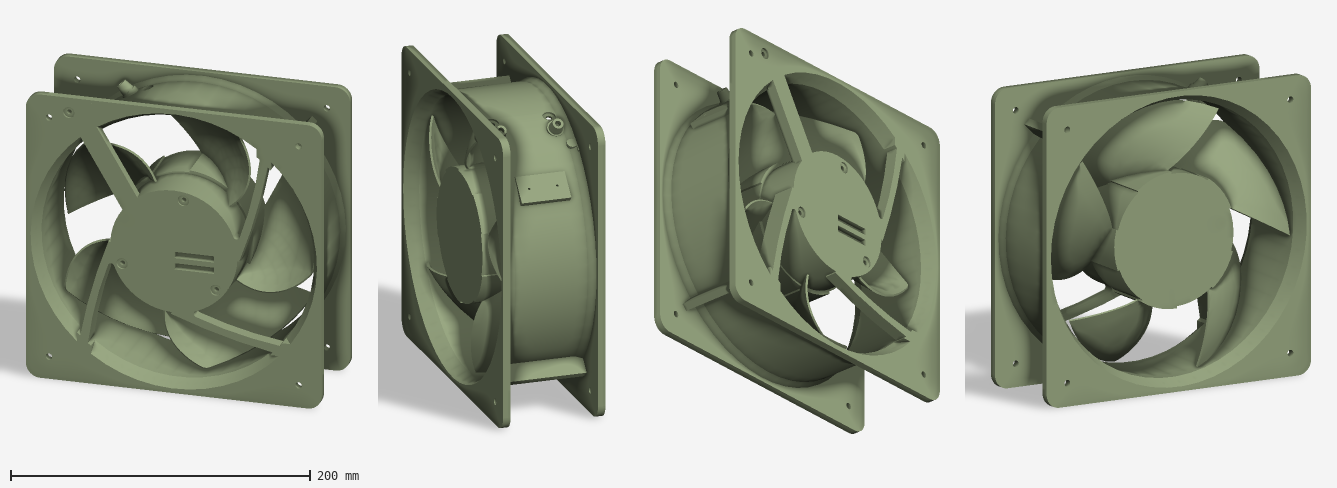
import cadquery as cq
import math

side = 206.0
depth = 72.5
front_y = -depth / 2
rear_y = depth / 2
flange_thickness = 5.4
flange_corner_radius = 9.9
mount_hole_offset = 87.0
mount_hole_radius = 2.3

duct_outer_radius = 98.0
duct_inner_radius = 95.0
flare_depth = 11.0
bore_flare_depth = 9.7
flare_outer_radius = 100.3
mouth_radius = 99.7
bridge_lip_radius = 100.1

can_radius = 44.3
can_rear_y = -6.5

arm_depth = 8.7
deep_arm_depth = 15.0
arms = [(0, arm_depth), (1, arm_depth), (2, deep_arm_depth)]
arm_core_point = (35.0, 2.0)
arm_right_side = [(45.5, -2.0), (56.9, 32.5), (65.3, 69.5)]
arm_left_side = [(60.0, 74.8), (56.0, 51.0), (42.5, 6.5)]
arm_tip_corner = (65.7, 71.5)
arm_root = (43.0, 10.3)
arm_root_fillet = 2.3
bridge_start = 57.7
bridge_end = 67.4

rib_width = 5.2
rib_reach = 111.0
rib_angles = (45.0, 225.0)

cover_radius = 43.0
cover_thickness = 4.1
strip_outline = [(-56.6, 100.5), (-78.0, 100.5), (-78.0, 86.3), (-66.7, 80.5), (-34.6, 26.2),
                 (-12.4, 10.3), (-26.0, 35.2), (-56.6, 86.3)]
slot_length = 27.6
slot_height = 4.5
slot_center_x = 14.2
slot_centers_z = (-2.5, -10.7)
screw_circle_radius = 38.3
screw_start_angle = 80.0
screw_count = 3
strip_screw = (-73.1, 92.3)
screw_recess_radius = 4.0
screw_recess_depth = 1.5
screw_hole_radius = 1.6

strip_angle = 120.6
strip_center = (-46.0, 57.0)
strip_arm_width = 14.0
strip_arm_depth = 6.2
strip_inner_end = -33.0
strip_outer_end = 27.2
tube_radius = 3.5
tube_depth = 8.7

diagonal_angle = 135.0
pad_face_distance = 99.0
pad_length = 19.8
pad_offset = 15.0
pad_width = 35.0
pad_hole_radius = 0.8
pad_hole_spacing = 20.0
pad_hole_depth = 2.0
boss_spacing = 40.2
boss_offset = -28.0
boss_flange_top = 96.0
boss_top = 103.2
boss_flange_radius = 5.8
boss_base_radius = 4.7
boss_top_radius = 3.7
boss_bore_radius = 2.0
boss_bore_depth = 4.1
port_angle = 110.8
port_radius = 4.3
port_depth = 1.5
port_bore_radius = 2.0

blade_count = 5
hub_radius = 45.7
hub_rear_y = 31.0
ledge_radius = 47.2
ledge_start_angle = 52.0
ledge_end_angle = 87.0
blade_root_radius = 45.1
blade_tip_radius = 92.7
blade_thickness = 1.5
blade_corner_radius = 6.2
blade_front_y = -18.5
blade_pitch = 1.28
blade_camber = 0.0072
round_edge_root_angle = 40.0
round_edge_sweep = 24.4
straight_edge_distance = 35.5
straight_edge_normal = 45.9
blade_rows = 9
blade_columns = 11
surface_tolerance = 0.01


def front_plane(y=front_y):
    """Sketch plane facing -Y; extrude by a negative length to go deeper along +Y."""
    return cq.Workplane("XZ", origin=(0, y, 0))


def polar(radius, angle):
    """X and Z of a point given by radius and angle about the fan axis."""
    a = math.radians(angle)
    return radius * math.cos(a), radius * math.sin(a)


def turned(body, angle):
    """Turn a body about the fan axis, from +X toward +Z."""
    return body.rotate((0, 0, 0), (0, 1, 0), -angle)


def outward_plane(angle, y=0.0):
    """Plane through the fan axis, facing outward at an angle, with its own X along +Y."""
    nx, nz = polar(1, angle)
    return cq.Workplane(cq.Plane(origin=(0, y, 0), xDir=(0, 1, 0), normal=(nx, 0, nz)))


def make_flange(y):
    """Rounded square plate with four mounting holes; its front face is at y."""
    plate = front_plane(y).rect(side, side).extrude(-flange_thickness)
    plate = plate.edges("|Y").fillet(flange_corner_radius)
    spacing = 2 * mount_hole_offset
    holes = front_plane(y).rect(spacing, spacing, forConstruction=True).vertices()
    return plate.cut(holes.circle(mount_hole_radius).extrude(-flange_thickness))


def make_air_passage():
    """Clear bore of the duct, flaring out toward both mouths."""
    return (
        cq.Workplane("XY")
        .moveTo(0, front_y)
        .lineTo(mouth_radius, front_y)
        .lineTo(duct_inner_radius, front_y + bore_flare_depth)
        .lineTo(duct_inner_radius, rear_y - bore_flare_depth)
        .lineTo(mouth_radius, rear_y)
        .lineTo(0, rear_y)
        .close()
        .revolve(360, (0, 0, 0), (0, 1, 0))
    )


def make_duct_shell():
    """Outside of the duct between the flanges, filled solid."""
    front = front_y + flange_thickness
    rear = rear_y - flange_thickness
    return (
        cq.Workplane("XY")
        .moveTo(0, front)
        .lineTo(flare_outer_radius, front)
        .lineTo(duct_outer_radius, front_y + flare_depth)
        .lineTo(duct_outer_radius, rear_y - flare_depth)
        .lineTo(flare_outer_radius, rear)
        .lineTo(0, rear)
        .close()
        .revolve(360, (0, 0, 0), (0, 1, 0))
    )


def make_rib(angle):
    """Radial rib between the flanges."""
    start = duct_inner_radius
    rib = cq.Workplane("XY").box(rib_reach - start, depth - 2 * flange_thickness, rib_width)
    return turned(rib.translate(((rib_reach + start) / 2, 0, 0)), angle)


def make_pad():
    """Flat pad on the duct with two small blind holes."""
    pad = outward_plane(diagonal_angle).center(0, pad_offset).rect(pad_width, pad_length)
    pad = pad.extrude(pad_face_distance)
    holes = outward_plane(diagonal_angle).workplane(offset=pad_face_distance)
    holes = holes.pushPoints([(y, pad_offset) for y in (-pad_hole_spacing / 2, pad_hole_spacing / 2)])
    return pad.cut(holes.circle(pad_hole_radius).extrude(-pad_hole_depth))


def make_boss(y):
    """Tapered boss standing on a round foot."""
    plane = outward_plane(diagonal_angle, y).center(0, boss_offset)
    foot = plane.circle(boss_flange_radius).extrude(boss_flange_top)
    cone = (
        plane.workplane(offset=boss_flange_top)
        .circle(boss_base_radius)
        .workplane(offset=boss_top - boss_flange_top)
        .circle(boss_top_radius)
        .loft()
    )
    return foot.union(cone)


def make_boss_bore(y):
    """Blind bore in the top of a boss."""
    plane = outward_plane(diagonal_angle, y).center(0, boss_offset)
    return plane.workplane(offset=boss_top).circle(boss_bore_radius).extrude(-boss_bore_depth)


def make_port(y):
    """Stepped radial hole through the duct wall."""
    plane = outward_plane(port_angle, y)
    recess_floor = plane.workplane(offset=duct_outer_radius - port_depth)
    recess = recess_floor.circle(port_radius).extrude(2 * port_depth)
    bore = plane.workplane(offset=can_radius).circle(port_bore_radius)
    return recess.union(bore.extrude(duct_outer_radius - can_radius))


def make_arm(quarter_turns, thickness):
    """Curved arm from the can to the duct mouth, filleted into the can."""
    arm = (
        front_plane()
        .moveTo(*arm_core_point)
        .lineTo(*arm_right_side[0])
        .threePointArc(*arm_right_side[1:])
        .lineTo(*arm_tip_corner)
        .lineTo(*arm_left_side[0])
        .threePointArc(*arm_left_side[1:])
        .close()
        .extrude(-thickness)
    )
    arm = arm.union(front_plane().circle(can_radius).extrude(-thickness))
    root = cq.selectors.NearestToPointSelector((arm_root[0], front_y + thickness / 2, arm_root[1]))
    return turned(arm.edges(root).fillet(arm_root_fillet), -90 * quarter_turns)


def make_bridge(quarter_turns):
    """Flat bridge that carries an arm across the flared mouth."""
    middle = (bridge_start + bridge_end) / 2
    bar = front_plane().center(middle, side / 4).rect(bridge_end - bridge_start, side / 2)
    bar = bar.extrude(-bore_flare_depth)
    ring = front_plane().circle(duct_outer_radius).circle(duct_inner_radius).extrude(-bore_flare_depth)
    lip = front_plane().circle(bridge_lip_radius).circle(duct_inner_radius).extrude(-flange_thickness)
    return turned(bar.intersect(ring.union(lip)), -90 * quarter_turns)


def place_under_strip(body):
    """Move a body built along +X to the line of the cable strip."""
    return turned(body, strip_angle).translate((strip_center[0], 0, strip_center[1]))


def make_strip_arm():
    """Flat arm that carries the cable strip from the can to the flange."""
    length = strip_outer_end - strip_inner_end
    bar = cq.Workplane("XY").box(length, strip_arm_depth, strip_arm_width)
    middle = (strip_inner_end + strip_outer_end) / 2
    return place_under_strip(bar.translate((middle, front_y + strip_arm_depth / 2, 0)))


def make_cable_tube():
    """Round cable channel behind the strip, ending just outside the duct."""
    plane = cq.Workplane("YZ", origin=(strip_inner_end, front_y + tube_depth, 0))
    return place_under_strip(plane.circle(tube_radius).extrude(strip_outer_end - strip_inner_end))


def screw_places():
    """Centres of the cover screws: three around the motor and one on the strip."""
    step = 360 / screw_count
    around = [polar(screw_circle_radius, screw_start_angle + step * i) for i in range(screw_count)]
    return around + [strip_screw]


def make_cover_blank():
    """Cover outline: round plate with the cable strip, flush with the front."""
    disc = front_plane().circle(cover_radius).extrude(-cover_thickness)
    return disc.union(front_plane().polyline(strip_outline).close().extrude(-cover_thickness))


def make_cover(blank):
    """Cover with two marking slots and counterbored screw holes."""
    slots = front_plane().pushPoints([(slot_center_x, z) for z in slot_centers_z])
    slots = slots.rect(slot_length, slot_height).extrude(-cover_thickness)
    screws = front_plane().pushPoints(screw_places())
    recesses = screws.circle(screw_recess_radius).extrude(-screw_recess_depth)
    holes = screws.circle(screw_hole_radius).extrude(-cover_thickness)
    return blank.cut(slots).cut(recesses).cut(holes)


def make_housing(cover_recess):
    """Flanges, duct, motor can and arms as one body, with a recess for the cover."""
    housing = make_duct_shell().union(make_pad())
    for angle in rib_angles:
        housing = housing.union(make_rib(angle))
    for y in (-boss_spacing / 2, boss_spacing / 2):
        housing = housing.union(make_boss(y))
        housing = housing.cut(make_boss_bore(y)).cut(make_port(y))
    housing = housing.union(make_flange(front_y)).union(make_flange(rear_y - flange_thickness))
    housing = housing.cut(make_air_passage())

    housing = housing.union(front_plane().circle(can_radius).extrude(front_y - can_rear_y))
    for quarter_turns, thickness in arms:
        housing = housing.union(make_arm(quarter_turns, thickness))
        housing = housing.union(make_bridge(quarter_turns))
    housing = housing.union(make_strip_arm()).union(make_cable_tube())
    return housing.cut(cover_recess)


def blade_point(row, column):
    """Point of the blade surface: rows go from root to tip, columns from round to straight edge."""
    out = row / (blade_rows - 1)
    radius = blade_root_radius + (blade_tip_radius - blade_root_radius) * out
    round_edge = round_edge_root_angle + round_edge_sweep * out**2
    straight_edge = straight_edge_normal + math.degrees(math.acos(straight_edge_distance / radius))
    past_edge = (straight_edge - round_edge) * column / (blade_columns - 1)
    x, z = polar(radius, round_edge + past_edge)
    y = blade_front_y + blade_pitch * past_edge - blade_camber * past_edge**2
    return cq.Vector(x, y, z)


def make_blade():
    """Twisted, cambered blade of constant thickness."""
    grid = [[blade_point(row, column) for column in range(blade_columns)] for row in range(blade_rows)]
    blade = cq.Workplane(cq.Face.makeSplineApprox(grid, tol=surface_tolerance).thicken(blade_thickness))
    corner = cq.selectors.NearestToPointSelector(blade_point(blade_rows - 1, 0).toTuple())
    return blade.edges(corner).fillet(blade_corner_radius)


def make_root_ledge():
    """Raised sector of the hub under a blade root."""
    middle_angle = (ledge_start_angle + ledge_end_angle) / 2
    return (
        front_plane(can_rear_y)
        .moveTo(0, 0)
        .lineTo(*polar(ledge_radius, ledge_start_angle))
        .threePointArc(polar(ledge_radius, middle_angle), polar(ledge_radius, ledge_end_angle))
        .close()
        .extrude(can_rear_y - hub_rear_y)
    )


def make_impeller():
    """Hub with its ring of blades, running against the rear of the motor can."""
    impeller = front_plane(can_rear_y).circle(hub_radius).extrude(can_rear_y - hub_rear_y)
    blade = make_blade()
    ledge = make_root_ledge()
    for i in range(blade_count):
        angle = i * 360 / blade_count
        impeller = impeller.union(turned(ledge, angle)).union(turned(blade, angle))
    return impeller


cover_blank = make_cover_blank()
cover = make_cover(cover_blank)
housing = make_housing(cover_blank)
impeller = make_impeller()
result = cq.Compound.makeCompound([housing.solids().val(), cover.solids().val(), impeller.solids().val()])